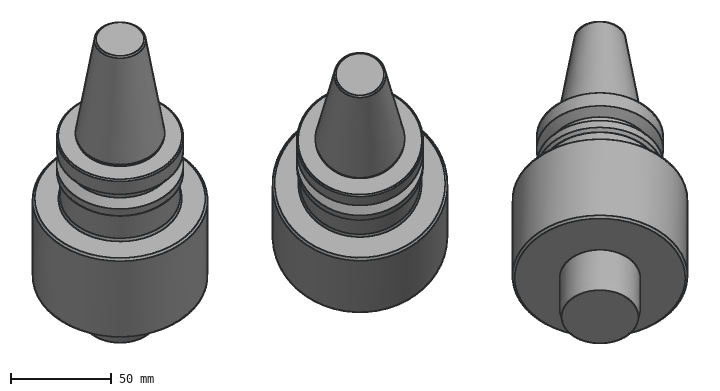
import cadquery as cq

total_height = 192.4
gauge_height = 127.0
flange_top = 125.0
flange_bottom = 98.7
body_top = 81.8
body_bottom = 27.0

taper_ratio = 7 / 24
gauge_radius = 44.5 / 2
taper_tip_radius = gauge_radius - (total_height - gauge_height) * taper_ratio / 2
tip_chamfer = 0.8
neck_radius = 21.5
neck_chamfer_height = 1.2

flange_radius = 63.0 / 2
flange_edge_chamfer = 0.8
flange_lower_chamfer = 1.7
groove_radius = 53.0 / 2
groove_center = 110.2
groove_floor_width = 4.5
groove_mouth_width = 10.2

collar_radius = 59.8 / 2
collar_foot_flare = 0.8
collar_foot_height = 1.5
body_radius = 87.0 / 2
body_chamfer = 1.2
shank_radius = 40.0 / 2
shank_tip_radius = 38.0 / 2
shank_lead_length = 5.2


def flange_groove():
    """Ring with a trapezoidal section that is cut from the flange."""
    half_floor = groove_floor_width / 2
    half_mouth = groove_mouth_width / 2
    section = [
        (groove_radius, groove_center - half_floor),
        (flange_radius, groove_center - half_mouth),
        (flange_radius, groove_center + half_mouth),
        (groove_radius, groove_center + half_floor),
    ]
    return revolve_section(section)


def revolve_section(points):
    """Revolve a closed (radius, height) outline about the Z axis."""
    return cq.Workplane("XZ").polyline(points).close().revolve(360, (0, 0), (0, 1))


shank_profile = [
    (0, 0),
    (shank_tip_radius, 0),
    (shank_radius, shank_lead_length),
    (shank_radius, body_bottom),
]
body_profile = [
    (body_radius - body_chamfer, body_bottom),
    (body_radius, body_bottom + body_chamfer),
    (body_radius, body_top - body_chamfer),
    (body_radius - body_chamfer, body_top),
]
collar_profile = [
    (collar_radius + collar_foot_flare, body_top),
    (collar_radius, body_top + collar_foot_height),
    (collar_radius, flange_bottom),
]
flange_profile = [
    (flange_radius - flange_lower_chamfer, flange_bottom),
    (flange_radius, flange_bottom + flange_lower_chamfer),
    (flange_radius, flange_top - flange_edge_chamfer),
    (flange_radius - flange_edge_chamfer, flange_top),
]
taper_profile = [
    (neck_radius, flange_top),
    (neck_radius, gauge_height - neck_chamfer_height),
    (gauge_radius, gauge_height),
    (taper_tip_radius + tip_chamfer * taper_ratio / 2, total_height - tip_chamfer),
    (taper_tip_radius - tip_chamfer, total_height),
    (0, total_height),
]

holder = revolve_section(shank_profile + body_profile + collar_profile + flange_profile + taper_profile)
result = holder.cut(flange_groove())